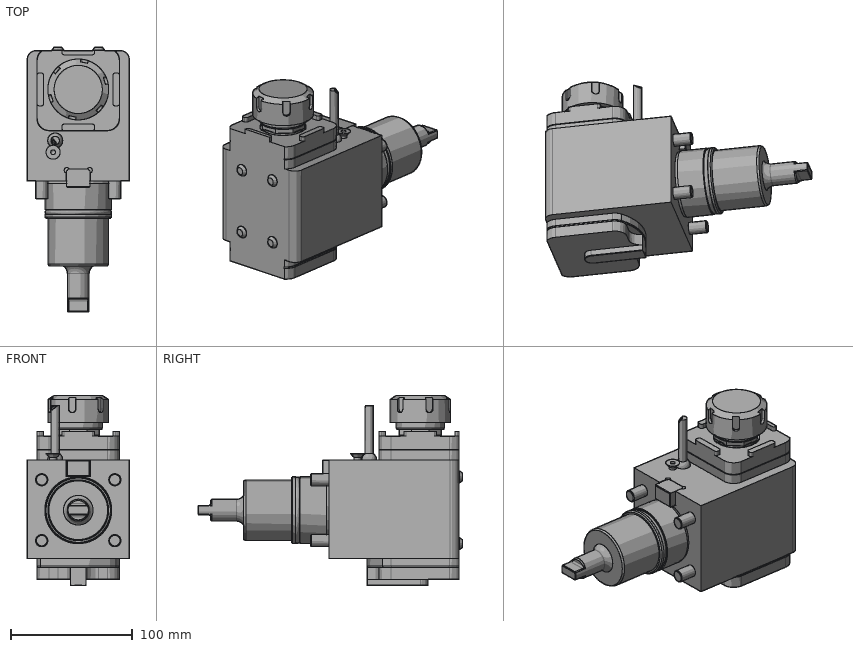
import cadquery as cq
import math


block_width = 84.0
block_top = 41.3
block_bottom = -39.8
block_back = 32.0
block_front = -75.0
block_corner = 7.5

cover_half = 34.0
cover_corner = 10.0
seam_inset = 0.2

upper_seam = 49.4
upper_seam_height = 0.5
upper_top = 60.9
lug_length = 27.0
lug_depth = 5.5
lug_height = 4.0
lug_corner = 2.0

lower_neck_bottom = -45.9
lower_plate_top = -47.2
lower_plate_bottom = -56.8
lower_rim_radius = 44.0
rib_bottom = -62.0
rib_half_width = 6.5
rib_chamfer = 0.5

nose_diameter = 40.0
nose_taper_width = 0.9
nose_taper_height = 1.5
nose_bottom = 66.0
wrench_flats = 34.8
wrench_flat_count = 8
wrench_bottom = 62.0
stem_diameter = 33.5
well_diameter = 37.8
well_depth = 1.0

nut_diameter = 50.0
nut_bottom = 72.0
nut_top = 94.4
nut_bevel_height = 3.5
nut_bevel_width = 5.2
nut_slot_count = 6
nut_slot_first_angle = 18
nut_slot_width = 6.0
nut_slot_bottom = 80.2
nut_slot_floor_radius = 22.6

pilot_diameter = 55.0
relief_root_diameter = 53.5
relief_end = -77.2
pilot_end = -98.7
ring_start = -99.2
ring_end = -102.6
ring_groove_diameter = 52.6
ring_diameter = 54.5
collar_chamfer = 1.0
collar_end = -106.0
shank_diameter = 50.0
shank_end = -145.0
shank_chamfer = 0.9
shank_chamfer_length = 1.7

shaft_diameter = 18.0
shaft_root_diameter = 24.4
shaft_flare_end = -151.1
tang_shoulder = -172.2
tang_tip = -182.7
tang_thickness = 7.8
tang_fillet = 1.5
tang_chamfer = 0.7
shoulder_chamfer = 1.0

key_width = 19.1
key_back = -65.5
key_front = -80.5
key_bottom = 27.8
key_chamfer = 0.7
key_back_chamfer = 1.5
key_drop = 0.2
key_clearance = 0.5
key_relief_radius = 2.2
key_relief_offset = 9.4
key_relief_y = -66.3

stud_spacing_x = 60.0
stud_spacing_z = 50.0
stud_diameter = 10.0
stud_end = -90.0
stud_chamfer = 0.7
button_spacing_x = 33.5
button_spacing_z = 54.8
button_diameter = 10.0
button_top_diameter = 6.0
button_rim = 0.5
button_height = 2.8

nozzle_x = -19.0
nozzle_y = -42.0
ball_diameter = 12.5
tube_diameter = 7.0
tube_top = 86.0
outlet_azimuth = 220
outlet_offset = 0.5
outlet_tilt = 45
outlet_diameter = 4.0
outlet_depth = 1.7

screw_x = -20.7
screw_y = -51.5
screw_head_diameter = 11.5
screw_shank_diameter = 6.0
screw_head_top = 46.5
screw_cone_bottom = 43.3
screw_rim = 0.2
screw_end = 34.8
screw_recess_diameter = 4.0
screw_recess_depth = 1.7
screw_recess_tip = 1.0


def box(x_min, x_max, y_min, y_max, z_min, z_max):
    size = (x_max - x_min, y_max - y_min, z_max - z_min)
    return cq.Workplane("XY").box(*size, centered=False).translate((x_min, y_min, z_min))


def cylinder(diameter, z_min, z_max, x=0, y=0):
    return cq.Workplane("XY", origin=(x, y, z_min)).circle(diameter / 2).extrude(z_max - z_min)


def trim_behind_block(body):
    """Cut a body off flush with the back of the block."""
    reach = 2 * lower_rim_radius
    return body.cut(box(-reach, reach, block_back, reach, -reach, reach + upper_top))


def rounded_square(half, corner, z_min, z_max):
    square = box(-half, half, -half, half, z_min, z_max).edges("|Z").fillet(corner)
    return trim_behind_block(square)


def make_block():
    half = block_width / 2
    block = box(-half, half, block_front, block_back, block_bottom, block_top)
    return block.edges("|Z and >Y").fillet(block_corner)


def make_lug(angle):
    outer = -cover_half
    lug = box(-lug_length / 2, lug_length / 2, outer, outer + lug_depth, upper_top, upper_top + lug_height)
    return lug.edges("|Z").fillet(lug_corner).rotate((0, 0, 0), (0, 0, 1), angle)


def make_upper_cover():
    seam_end = upper_seam + upper_seam_height
    cover = rounded_square(cover_half, cover_corner, block_top, upper_seam)
    cover = cover.union(rounded_square(cover_half - seam_inset, cover_corner, upper_seam, seam_end))
    cover = cover.union(rounded_square(cover_half, cover_corner, seam_end, upper_top))
    for angle in (0, 90, 180, 270):
        cover = cover.union(trim_behind_block(make_lug(angle)))
    return cover.cut(cylinder(well_diameter, upper_top - well_depth, upper_top))


def rim_plate(inset, z_min, z_max):
    """Cover plate whose front bulges out to the rim circle about the spindle axis."""
    half = cover_half - inset
    rim = lower_rim_radius - inset
    corner_center = cover_half - cover_corner
    diagonal = rim * math.sqrt(0.5)
    square = rounded_square(half, cover_corner, z_min, z_max)
    bulge = (
        cq.Workplane("XY", origin=(0, 0, z_min))
        .moveTo(-diagonal, -corner_center)
        .lineTo(-diagonal, -diagonal)
        .threePointArc((0, -rim), (diagonal, -diagonal))
        .lineTo(diagonal, -corner_center)
        .close()
        .extrude(z_max - z_min)
    )
    return square.union(bulge)


def make_lower_cover():
    cover = rim_plate(0, lower_neck_bottom, block_bottom)
    cover = cover.union(rim_plate(seam_inset, lower_plate_top, lower_neck_bottom))
    plate = rounded_square(cover_half, cover_corner, lower_plate_bottom, lower_plate_top)

    flare = lower_rim_radius - cover_half
    root = rib_half_width + flare
    tip = -lower_rim_radius
    bend = flare * (1 - math.sqrt(0.5))
    tongue = (
        cq.Workplane("XY", origin=(0, 0, lower_plate_bottom))
        .moveTo(-root, 0)
        .lineTo(-root, -cover_half)
        .threePointArc((-rib_half_width - bend, -cover_half - bend), (-rib_half_width, tip))
        .lineTo(rib_half_width, tip)
        .threePointArc((rib_half_width + bend, -cover_half - bend), (root, -cover_half))
        .lineTo(root, 0)
        .close()
        .extrude(lower_plate_top - lower_plate_bottom)
    )
    rib = box(-rib_half_width, rib_half_width, tip, 0, rib_bottom, lower_plate_bottom)
    rib = rib.union(cylinder(2 * rib_half_width, rib_bottom, lower_plate_bottom))
    rib = rib.faces("<Z").edges().chamfer(rib_chamfer)
    rim = cylinder(2 * lower_rim_radius, rib_bottom, lower_plate_top)
    return cover.union(plate).union(tongue.intersect(rim)).union(rib.intersect(rim))


def make_spindle_nose():
    """Stem rising from a shallow well, an octagon for the wrench, then the round nose."""
    corner_diameter = wrench_flats / math.cos(math.pi / wrench_flat_count)
    octagon = (
        cq.Workplane("XY", origin=(0, 0, wrench_bottom))
        .polygon(wrench_flat_count, corner_diameter)
        .extrude(nose_bottom - wrench_bottom)
        .rotate((0, 0, 0), (0, 0, 1), 180 / wrench_flat_count)
    )
    stem = cylinder(stem_diameter, upper_top - well_depth, wrench_bottom)
    nose = cylinder(nose_diameter, nose_bottom, nut_bottom)
    nose = nose.faces("<Z").chamfer(nose_taper_height, nose_taper_width)
    return stem.union(octagon).union(nose)


def make_shank():
    ring_mid = (ring_start + ring_end) / 2
    profile = (
        cq.Workplane("XY")
        .moveTo(0, block_front)
        .lineTo(relief_root_diameter / 2, block_front)
        .lineTo(pilot_diameter / 2, relief_end)
        .lineTo(pilot_diameter / 2, pilot_end)
        .lineTo(ring_groove_diameter / 2, pilot_end)
        .lineTo(ring_groove_diameter / 2, ring_start)
        .threePointArc((ring_diameter / 2, ring_mid), (ring_groove_diameter / 2, ring_end))
        .lineTo(pilot_diameter / 2, ring_end)
        .lineTo(pilot_diameter / 2, collar_end + collar_chamfer)
        .lineTo(pilot_diameter / 2 - collar_chamfer, collar_end)
        .lineTo(shank_diameter / 2, collar_end)
        .lineTo(shank_diameter / 2, shank_end + shank_chamfer_length)
        .lineTo(shank_diameter / 2 - shank_chamfer, shank_end)
        .lineTo(0, shank_end)
        .close()
    )
    return profile.revolve(360, (0, 0, 0), (0, 1, 0))


def make_drive_shaft():
    radius = shaft_diameter / 2
    rise = shaft_root_diameter / 2 - radius
    run = shank_end - shaft_flare_end
    flare_radius = (rise**2 + run**2) / (2 * rise)
    half_angle = math.asin(run / flare_radius) / 2
    flare_mid = (
        radius + flare_radius * (1 - math.cos(half_angle)),
        shaft_flare_end + flare_radius * math.sin(half_angle),
    )
    profile = (
        cq.Workplane("XY")
        .moveTo(0, shank_end)
        .lineTo(shaft_root_diameter / 2, shank_end)
        .threePointArc(flare_mid, (radius, shaft_flare_end))
        .lineTo(radius, tang_shoulder + shoulder_chamfer)
        .lineTo(radius - shoulder_chamfer, tang_shoulder)
        .lineTo(0, tang_shoulder)
        .close()
    )
    return profile.revolve(360, (0, 0, 0), (0, 1, 0))


def make_tang():
    radius = shaft_diameter / 2
    half = tang_thickness / 2
    start = tang_shoulder + shoulder_chamfer
    round_bar = cq.Workplane("XZ", origin=(0, start, 0)).circle(radius).extrude(start - tang_tip)
    slab = box(-radius, radius, tang_tip, start, -half, half)
    tang = round_bar.intersect(slab)
    tang = tang.faces(">Z or <Z or <Y").edges("not >Y").chamfer(tang_chamfer)

    reach = half + tang_fillet
    bend = tang_fillet * (1 - math.sqrt(0.5))
    root = (
        cq.Workplane("YZ", origin=(-radius, 0, 0))
        .moveTo(tang_shoulder, -reach)
        .threePointArc((tang_shoulder - bend, -half - bend), (tang_shoulder - tang_fillet, -half))
        .lineTo(tang_shoulder - tang_fillet, half)
        .threePointArc((tang_shoulder - bend, half + bend), (tang_shoulder, reach))
        .close()
        .extrude(shaft_diameter)
    )
    return tang.union(root.intersect(round_bar))


def make_key():
    half = key_width / 2
    key = box(-half, half, key_front, key_back, key_bottom, block_top - key_drop)
    key = key.faces("<Y").edges().chamfer(key_chamfer)
    return key.edges("|Z and >Y").chamfer(key_back_chamfer)


def make_key_slot():
    half = key_width / 2 + key_clearance
    return box(-half, half, block_front, key_back, key_bottom, block_top)


def make_key_reliefs():
    reliefs = cq.Workplane("XY")
    for side in (-1, 1):
        x = side * key_relief_offset
        reliefs = reliefs.add(cylinder(2 * key_relief_radius, key_bottom, block_top, x, key_relief_y))
    return reliefs.combine()


def make_studs():
    return (
        cq.Workplane("XZ", origin=(0, block_front, 0))
        .rect(stud_spacing_x, stud_spacing_z, forConstruction=True)
        .vertices()
        .circle(stud_diameter / 2)
        .extrude(block_front - stud_end)
        .faces("<Y")
        .chamfer(stud_chamfer)
    )


def button_discs(y):
    return (
        cq.Workplane("XZ", origin=(0, y, 0))
        .rect(button_spacing_x, button_spacing_z, forConstruction=True)
        .vertices()
        .circle(button_diameter / 2)
    )


def make_buttons():
    """Button heads: a short cylindrical rim under a conical crown."""
    crown_height = button_height - button_rim
    taper = math.degrees(math.atan((button_diameter - button_top_diameter) / 2 / crown_height))
    return button_discs(block_back).extrude(-button_rim).union(
        button_discs(block_back + button_rim).extrude(-crown_height, taper=taper)
    )


def make_collet_nut():
    radius = nut_diameter / 2
    nut = cylinder(nut_diameter, nut_bottom, nut_top)
    nut = nut.faces(">Z").chamfer(nut_bevel_height, nut_bevel_width)

    half = nut_slot_width / 2
    end_center = nut_slot_bottom + half
    slot = box(nut_slot_floor_radius, nut_diameter, -half, half, end_center, nut_top)
    slot_end = (
        cq.Workplane("YZ", origin=(nut_slot_floor_radius, 0, end_center))
        .circle(half)
        .extrude(radius)
    )
    slot = slot.union(slot_end)
    for index in range(nut_slot_count):
        angle = nut_slot_first_angle + index * 360 / nut_slot_count
        nut = nut.cut(slot.rotate((0, 0, 0), (0, 0, 1), angle))
    return nut


def make_nozzle():
    """Ball seated in the block, with a tube whose bevelled tip carries the outlet."""
    ball = cq.Workplane("XY").sphere(ball_diameter / 2)
    height = tube_top - block_top
    tube = cylinder(tube_diameter, 0, height)

    reach = 2 * tube_diameter
    bevel = box(-reach, reach, -reach, reach, 0, tube_diameter)
    outlet_x = tube_diameter / 4 / math.cos(math.radians(outlet_tilt))
    outlet = cylinder(outlet_diameter, -outlet_depth, 0, x=outlet_x)
    cutter = bevel.union(outlet)
    cutter = cutter.rotate((0, 0, 0), (0, 1, 0), outlet_tilt).translate((outlet_offset, 0, height))
    cutter = cutter.rotate((0, 0, 0), (0, 0, 1), outlet_azimuth)
    return ball.union(tube.cut(cutter)).translate((nozzle_x, nozzle_y, block_top))


def make_clamp_screw():
    """Countersunk screw; its head stands above the block beside the nozzle ball."""
    recess_bottom = screw_head_top - screw_recess_depth
    profile = (
        cq.Workplane("XZ")
        .moveTo(0, screw_end)
        .lineTo(screw_shank_diameter / 2, screw_end)
        .lineTo(screw_shank_diameter / 2, screw_cone_bottom)
        .lineTo(screw_head_diameter / 2, screw_head_top - screw_rim)
        .lineTo(screw_head_diameter / 2, screw_head_top)
        .lineTo(screw_recess_diameter / 2, screw_head_top)
        .lineTo(screw_recess_diameter / 2, recess_bottom)
        .lineTo(0, recess_bottom - screw_recess_tip)
        .close()
    )
    return profile.revolve(360, (0, 0, 0), (0, 1, 0)).translate((screw_x, screw_y, 0))


collet_nut = make_collet_nut()
nozzle = make_nozzle()
clamp_screw = make_clamp_screw()

housing = (
    make_block()
    .cut(make_key_slot())
    .cut(make_key_reliefs())
    .union(make_upper_cover())
    .union(make_lower_cover())
    .union(make_spindle_nose())
    .union(make_shank())
    .union(make_drive_shaft())
    .union(make_tang())
    .union(make_key())
    .union(make_studs())
    .union(make_buttons())
    .cut(nozzle)
    .cut(clamp_screw)
)

result = cq.Compound.makeCompound([housing.val(), collet_nut.val(), nozzle.val(), clamp_screw.val()])